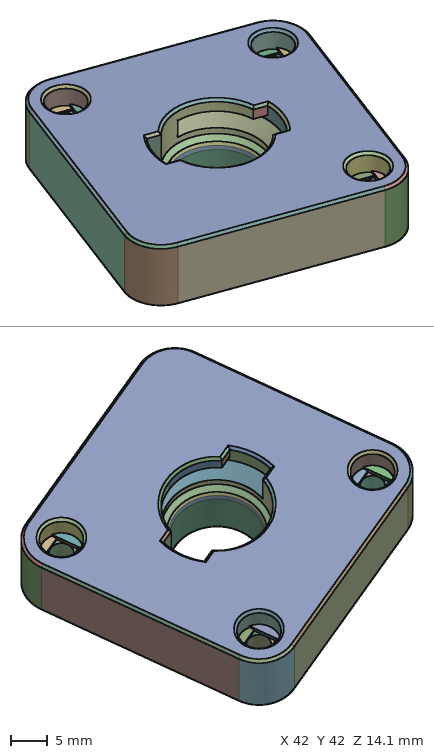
import cadquery as cq
import math

block_side = 42.0
block_height = 10.0
corner_radius = 5.5
edge_chamfer = 0.4

boss_diameter = 23.1
boss_height = 4.05

socket_diameter = 15.2
socket_depth = 5.8
seat_diameter = 13.7
collar_diameter = 13.3
bore_diameter = 13.05
seat_angle = 45.0
collar_angle = seat_angle / 2
throat_angle = collar_angle / 2

notch_width = 6.4
channel_radius = 9.6
channel_top_depth = 2.0
channel_outer_depth = 2.8
channel_inner_depth = channel_outer_depth + channel_radius - socket_diameter / 2
channel_stop = 2.6

screw_offset = block_side / 2 - corner_radius
screw_positions = [
    (-screw_offset, screw_offset),
    (screw_offset, screw_offset),
    (-screw_offset, -screw_offset),
]
screw_diameter = 3.4
head_diameter = 6.0
head_depth = 3.0
bridge_step = 0.3


def cylinder(diameter, top, depth):
    """Vertical cylinder on the Z axis, reaching down from the height top."""
    return cq.Workplane("XY").workplane(offset=top - depth).circle(diameter / 2).extrude(depth)


def make_body():
    block = (
        cq.Workplane("XY")
        .rect(block_side, block_side)
        .extrude(block_height)
        .edges("|Z")
        .fillet(corner_radius)
        .faces(">Z")
        .chamfer(edge_chamfer)
    )
    boss = cylinder(boss_diameter, 0, boss_height).faces("<Z").chamfer(edge_chamfer)
    return block.union(boss)


def cone_height(top_diameter, bottom_diameter, angle):
    """Height of a cone between two diameters, tilted by angle from its axis."""
    return (top_diameter - bottom_diameter) / 2 / math.tan(math.radians(angle))


def make_bore():
    """Stepped bore: chamfered mouth, socket, three ever steeper cones and a through hole."""
    socket_floor = block_height - socket_depth
    seat_floor = socket_floor - cone_height(socket_diameter, seat_diameter, seat_angle)
    collar_floor = seat_floor - cone_height(seat_diameter, collar_diameter, collar_angle)
    throat_floor = collar_floor - cone_height(collar_diameter, bore_diameter, throat_angle)
    return (
        cq.Workplane("XZ")
        .moveTo(0, block_height)
        .lineTo(socket_diameter / 2 + edge_chamfer, block_height)
        .lineTo(socket_diameter / 2, block_height - edge_chamfer)
        .lineTo(socket_diameter / 2, socket_floor)
        .lineTo(seat_diameter / 2, seat_floor)
        .lineTo(collar_diameter / 2, collar_floor)
        .lineTo(bore_diameter / 2, throat_floor)
        .lineTo(bore_diameter / 2, -boss_height)
        .lineTo(0, -boss_height)
        .close()
        .revolve(360, (0, 0, 0), (0, 1, 0))
    )


def revolved_recess(top_depth):
    """Full ring out to the channel radius with a 45 degree conical floor."""
    return (
        cq.Workplane("XZ")
        .moveTo(0, block_height - top_depth)
        .lineTo(channel_radius, block_height - top_depth)
        .lineTo(channel_radius, block_height - channel_outer_depth)
        .lineTo(socket_diameter / 2, block_height - channel_inner_depth)
        .lineTo(0, block_height - channel_inner_depth)
        .close()
        .revolve(360, (0, 0, 0), (0, 1, 0))
    )


def make_notches():
    """Pair of entry notches on the Y axis, chamfered at the top face."""
    slab = cq.Workplane("XY").rect(notch_width, block_side).extrude(block_height)
    notches = revolved_recess(0).intersect(slab)
    rim_slab = (
        cq.Workplane("XY")
        .workplane(offset=block_height - edge_chamfer)
        .rect(notch_width, block_side)
        .workplane(offset=edge_chamfer)
        .rect(notch_width + 2 * edge_chamfer, block_side + 2 * edge_chamfer)
        .loft(ruled=True)
    )
    rim_cone = (
        cq.Workplane("XY")
        .workplane(offset=block_height)
        .circle(channel_radius + edge_chamfer)
        .workplane(offset=-edge_chamfer)
        .circle(channel_radius)
        .loft(ruled=True)
    )
    return notches.union(rim_slab.intersect(rim_cone))


def make_channel():
    """Locking channel from the -Y notch counterclockwise to a flat end wall past the +X axis."""
    swept_region = cq.Workplane("XY").box(
        channel_radius, channel_radius + channel_stop, block_height, centered=False
    )
    return revolved_recess(channel_top_depth).intersect(swept_region.translate((0, -channel_radius, 0)))


def make_screw_hole():
    """Screw hole whose head seat steps down through a slot and a square to the round hole."""
    seat = block_height - head_depth
    slot_floor = seat - bridge_step
    square_floor = slot_floor - bridge_step
    mouth = (
        cq.Workplane("XY")
        .workplane(offset=block_height)
        .circle(head_diameter / 2 + edge_chamfer)
        .workplane(offset=-edge_chamfer)
        .circle(head_diameter / 2)
        .loft(ruled=True)
    )
    slot = (
        cq.Workplane("XY")
        .workplane(offset=slot_floor)
        .rect(head_diameter, screw_diameter)
        .extrude(bridge_step)
        .intersect(cylinder(head_diameter, block_height, block_height))
    )
    square = (
        cq.Workplane("XY")
        .workplane(offset=square_floor)
        .rect(screw_diameter, screw_diameter)
        .extrude(bridge_step)
    )
    return (
        cylinder(screw_diameter, block_height, block_height)
        .union(cylinder(head_diameter, block_height, head_depth))
        .union(mouth)
        .union(slot)
        .union(square)
    )


result = make_body().cut(make_bore()).cut(make_notches())
for turn in (0, 180):
    result = result.cut(make_channel().rotate((0, 0, 0), (0, 0, 1), turn))
for x, y in screw_positions:
    result = result.cut(make_screw_hole().translate((x, y, 0)))